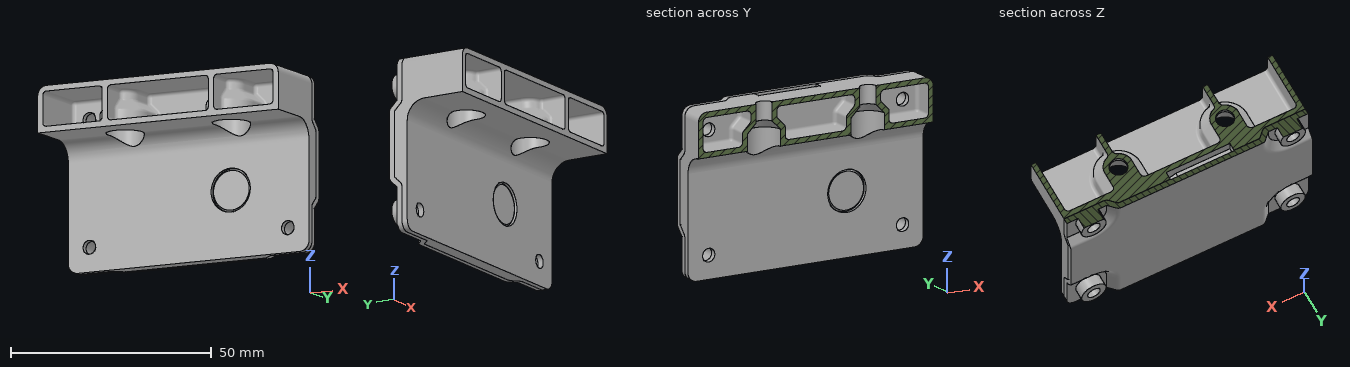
import cadquery as cq
import math

WIDTH = 68
HEIGHT = 45.0
BACK_Y = 21.5
CORNER_RADIUS = 2.5
WALL = 1.5
EDGE_MARGIN = 1.0
CLEAR = 6.8

PLATE_FRONT_Y = 16.2
BOX_HEIGHT = 11.9
PLATE_FILLET = 5.0

COVER_THICKNESS = 1.5
STEP_DEPTH = 2.25
STEP_FOOT = 11.2
STEP_CORNER_RADIUS = 5.25
STEP_ANGLE = 45

POST_INSET_X = 6.0
POST_INSET_Z = 6.3
POST_DIAMETER = 6.95
POST_HEIGHT = 3.1
POST_HOLE_DIAMETER = 3.55

SCREW_SPACING = 30.0
SCREW_Y = 10.75
SCREW_DIAMETER = 4.6
HEAD_DIAMETER = 9.5
NECK_BEND_Z = 40.65
POCKET_FILLET = 1.0

BUTTON_X = 45.9
BUTTON_Z = 17.3
BUTTON_DIAMETER = 11.0
BUTTON_HOLE_DIAMETER = 11.1
BUTTON_CHAMFER = 0.5
BUTTON_RECESS = 0.35

SLOT_LEFT = 21.35
SLOT_RIGHT = 39.2
SLOT_DEPTH = 6.8
SLOT_RAMP_WIDTH = 2.25
SLOT_RAMP_DROP = 0.95
SLOT_LEDGE_WIDTH = 0.4

COVER_INNER_Y = BACK_Y - COVER_THICKNESS
STEP_FLOOR_Y = BACK_Y - STEP_DEPTH
COVER_FRONT_Y = STEP_FLOOR_Y - COVER_THICKNESS
BOX_BOTTOM_Z = HEIGHT - BOX_HEIGHT
BEND_OFFSET = math.tan(math.radians(STEP_ANGLE / 2))
SCREW_XS = [WIDTH / 2 - SCREW_SPACING / 2, WIDTH / 2 + SCREW_SPACING / 2]
CORNER_SIGNS = [(-1, -1), (1, -1), (-1, 1), (1, 1)]
POST_PLACES = [
    (WIDTH / 2 + sx * (WIDTH / 2 - POST_INSET_X), HEIGHT / 2 + sz * (HEIGHT / 2 - POST_INSET_Z))
    for sx, sz in CORNER_SIGNS
]


def block(x0, x1, y0, y1, z0, z1):
    return cq.Workplane("XY").box(x1 - x0, y1 - y0, z1 - z0, centered=False).translate((x0, y0, z0))


def rod(x, z, diameter, y0, y1):
    """Cylinder along Y between two depths."""
    return cq.Workplane("XZ", origin=(x, y0, z)).circle(diameter / 2).extrude(y0 - y1)


def rounded_plate(y0, y1):
    """Slab with the full outline of the part."""
    return block(0, WIDTH, y0, y1, 0, HEIGHT).edges("|Y").fillet(CORNER_RADIUS)


def corner_steps(slab, foot, floor_y, rounded_y):
    """Cut a sloped step with a rounded inner corner from each back corner of a slab.

    The bend of the step at depth rounded_y gets a radius equal to the cover thickness.
    """
    side = foot + CLEAR
    outline = cq.Sketch().rect(side, side).vertices().fillet(STEP_CORNER_RADIUS)
    for sx, sz in CORNER_SIGNS:
        center_x = WIDTH / 2 + sx * (WIDTH / 2 - foot + side / 2)
        center_z = HEIGHT / 2 + sz * (HEIGHT / 2 - foot + side / 2)
        step = (
            cq.Workplane("XZ", origin=(center_x, floor_y, center_z))
            .placeSketch(outline)
            .extrude(-STEP_DEPTH, taper=-STEP_ANGLE)
        )
        slab = slab.cut(step)
    bend_edges = cq.selectors.BoxSelector(
        (EDGE_MARGIN, rounded_y - EDGE_MARGIN, EDGE_MARGIN),
        (WIDTH - EDGE_MARGIN, rounded_y + EDGE_MARGIN, HEIGHT - EDGE_MARGIN),
    )
    return slab.edges("#Y").edges(bend_edges).fillet(COVER_THICKNESS)


def screw_profile(neck_radius, head_radius, bend_z, bottom_z, top_z):
    """Half section of a stepped shaft: neck above, 45 degree cone, head below."""
    cone_end_z = bend_z - (head_radius - neck_radius)
    return [
        (0, top_z), (neck_radius, top_z), (neck_radius, bend_z),
        (head_radius, cone_end_z), (head_radius, bottom_z), (0, bottom_z),
    ]


def screw_shaft(x, profile):
    return (
        cq.Workplane("XZ", origin=(x, SCREW_Y, 0)).polyline(profile).close()
        .revolve(360, (0, 0, 0), (0, 1, 0))
    )


def boss(x):
    """Material around one screw hole, carried straight back to the plate, with rounded bends."""
    profile = screw_profile(
        SCREW_DIAMETER / 2 + WALL, HEAD_DIAMETER / 2 + WALL, NECK_BEND_Z, BOX_BOTTOM_Z, HEIGHT
    )
    mirrored = [(-r, z) for r, z in reversed(profile[1:-1])]
    web = (
        cq.Workplane("XZ", origin=(x, SCREW_Y, 0)).polyline(profile[1:-1] + mirrored).close()
        .extrude(SCREW_Y - PLATE_FRONT_Y - CLEAR)
    )
    return screw_shaft(x, profile).union(web)


def pocket(x0, x1):
    """Space between two walls of the box, open at the front, with every inner edge rounded."""
    space = block(x0, x1, 0, PLATE_FRONT_Y, BOX_BOTTOM_Z + WALL, HEIGHT - WALL)
    for x in SCREW_XS:
        space = space.cut(boss(x))
    return space.edges("not <Y").fillet(POCKET_FILLET)


def screw_hole(x):
    """Clearance hole from above with a conical seat and a head bore open at the bottom."""
    bend_z = NECK_BEND_Z - WALL * BEND_OFFSET
    profile = screw_profile(
        SCREW_DIAMETER / 2, HEAD_DIAMETER / 2, bend_z, BOX_BOTTOM_Z - CLEAR, HEIGHT + CLEAR
    )
    return screw_shaft(x, profile)


def slot():
    """Slot open at the top, whose floor ends in a ramp and a narrow ledge on the right."""
    floor_z = HEIGHT - SLOT_DEPTH
    ledge_x = SLOT_RIGHT - SLOT_LEDGE_WIDTH
    ledge_z = floor_z - SLOT_RAMP_DROP
    outline = [
        (SLOT_LEFT, HEIGHT), (SLOT_LEFT, floor_z), (ledge_x - SLOT_RAMP_WIDTH, floor_z),
        (ledge_x, ledge_z), (SLOT_RIGHT, ledge_z), (SLOT_RIGHT, HEIGHT),
    ]
    return (
        cq.Workplane("XZ", origin=(0, COVER_FRONT_Y, 0)).polyline(outline).close()
        .extrude(COVER_FRONT_Y - COVER_INNER_Y)
    )


def housing_plate():
    """Plain plate of the housing, stepped at the back to fit the inside of the cover."""
    inner_foot = STEP_FOOT + COVER_THICKNESS * BEND_OFFSET
    plate = rounded_plate(PLATE_FRONT_Y, COVER_INNER_Y)
    return corner_steps(plate, inner_foot, COVER_FRONT_Y, COVER_FRONT_Y)


def make_housing():
    body = housing_plate()
    box = block(0, WIDTH, 0, PLATE_FRONT_Y, BOX_BOTTOM_Z, HEIGHT)
    box = box.edges("|Y and >Z").fillet(CORNER_RADIUS)
    under_box = block(
        0, WIDTH, PLATE_FRONT_Y - PLATE_FILLET, PLATE_FRONT_Y, BOX_BOTTOM_Z - PLATE_FILLET, BOX_BOTTOM_Z
    )
    rounding = (
        cq.Workplane("YZ", origin=(0, PLATE_FRONT_Y - PLATE_FILLET, BOX_BOTTOM_Z - PLATE_FILLET))
        .circle(PLATE_FILLET).extrude(WIDTH)
    )
    body = body.union(box).union(under_box.cut(rounding))

    rib_sides = [x + side * WALL / 2 for x in SCREW_XS for side in (-1, 1)]
    walls = [WALL, *rib_sides, WIDTH - WALL]
    for x0, x1 in zip(walls[::2], walls[1::2]):
        body = body.cut(pocket(x0, x1))
    for x in SCREW_XS:
        body = body.cut(screw_hole(x))
    for x, z in POST_PLACES:
        body = body.cut(rod(x, z, POST_HOLE_DIAMETER, 0, BACK_Y))
    body = body.cut(rod(BUTTON_X, BUTTON_Z, BUTTON_HOLE_DIAMETER, PLATE_FRONT_Y, COVER_INNER_Y))
    return body.cut(slot())


def make_cover():
    """Stepped back sheet that fits the back of the housing, with the four spacer posts."""
    sheet = corner_steps(rounded_plate(COVER_FRONT_Y, BACK_Y), STEP_FOOT, STEP_FLOOR_Y, BACK_Y)
    sheet = sheet.cut(housing_plate())
    for x, z in POST_PLACES:
        sheet = sheet.union(rod(x, z, POST_DIAMETER, STEP_FLOOR_Y, STEP_FLOOR_Y + POST_HEIGHT))
        sheet = sheet.cut(rod(x, z, POST_HOLE_DIAMETER, 0, BACK_Y + CLEAR))
    return sheet


def make_button():
    """Round chamfered button, slightly below the plate face and resting against the cover."""
    button = rod(BUTTON_X, BUTTON_Z, BUTTON_DIAMETER, PLATE_FRONT_Y + BUTTON_RECESS, COVER_INNER_Y)
    return button.faces("<Y").chamfer(BUTTON_CHAMFER)


housing = make_housing()
cover = make_cover()
button = make_button()
result = cq.Compound.makeCompound([housing.val(), cover.val(), button.val()])